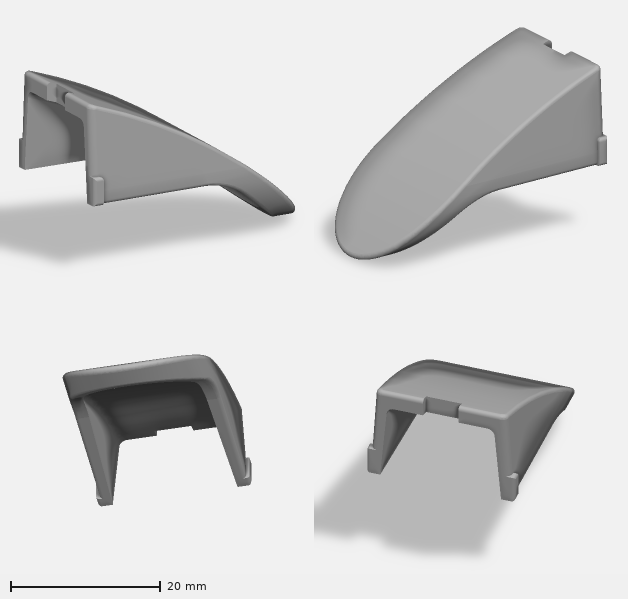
import cadquery as cq
import math

length = 35.22
half_width = 10.0
crown_rear_z = 22.7
crown_mid_y = 17.6
crown_mid_z = 14.75
crown_tip_z = 0.75

rim_z = 8.7
rim_end_y = 17.6
slope_start_y = 23.77
slope_start_z = 6.55
slope_end_y = 32.05
blend_mid_y = 20.85
blend_mid_z = 8.05

lean_angle = 3.5

roof_thickness = 2.45
cavity_rear_radius = 8.52
cavity_axis_z = 8.52
cavity_lean_angle = 5.0
cavity_taper = 1.5
cavity_roof_fillet = 1.05

notch_width = 5.0
notch_depth = 1.48

tab_half_width = 10.5
tab_inner_half_width = 7.75
tab_depth = 1.48
tab_top_z = 12.68
tab_fillet = 0.5

edge_fillet = 0.53
rear_corner_fillet = 1.0
clearance = 5.3


def crown_circle():
    """Centre (y, z) and radius of the circle through the three crown points."""
    chord_mid_y = length / 2
    chord_mid_z = (crown_rear_z + crown_tip_z) / 2
    drop = crown_rear_z - crown_tip_z
    chord = math.hypot(length, drop)
    normal_y = drop / chord
    normal_z = length / chord
    offset_y = crown_mid_y - chord_mid_y
    offset_z = crown_mid_z - chord_mid_z
    along_normal = offset_y * normal_y + offset_z * normal_z
    offset_squared = offset_y**2 + offset_z**2
    centre_shift = (offset_squared - (chord / 2) ** 2) / (2 * along_normal)
    centre_y = chord_mid_y + centre_shift * normal_y
    centre_z = chord_mid_z + centre_shift * normal_z
    radius = math.hypot(crown_rear_z - centre_z, centre_y)
    return centre_y, centre_z, radius


def crown_cylinder(depth):
    """Cylinder across the part whose surface lies the given depth below the crown."""
    centre_y, centre_z, radius = crown_circle()
    cylinder = cq.Workplane("YZ").center(centre_y, centre_z).circle(radius - depth)
    return cylinder.extrude(tab_half_width + clearance, both=True)


def u_section(radius, axis_z, lean, start_y):
    """Cross-section with a round bottom and tangent sides leaning inwards."""
    top_z = crown_rear_z + clearance
    lean_radians = math.radians(lean)
    side_x = radius * math.cos(lean_radians)
    side_z = axis_z + radius * math.sin(lean_radians)
    top_x = side_x - (top_z - side_z) * math.tan(lean_radians)
    return (
        cq.Workplane("XZ", origin=(0, start_y, 0))
        .moveTo(-side_x, side_z)
        .threePointArc((0, axis_z - radius), (side_x, side_z))
        .lineTo(top_x, top_z)
        .lineTo(-top_x, top_z)
        .close()
    )


def underside_cut():
    """Space below the rim, the blend and the sloping underside."""
    profile = (
        cq.Workplane("YZ")
        .moveTo(-clearance, -clearance)
        .lineTo(-clearance, rim_z)
        .lineTo(rim_end_y, rim_z)
        .threePointArc((blend_mid_y, blend_mid_z), (slope_start_y, slope_start_z))
        .lineTo(slope_end_y, 0)
        .lineTo(slope_end_y, -clearance)
        .close()
    )
    return profile.extrude(tab_half_width, both=True)


def outer_body():
    """Solid body with rounded edges, before the cavity is removed."""
    section = u_section(half_width, half_width, lean_angle, 0)
    body = section.extrude(-length - clearance)
    body = body.intersect(crown_cylinder(0))
    upper_rear_corners = body.faces("<Y").edges("not |X").edges(">Z")
    body = upper_rear_corners.fillet(rear_corner_fillet)
    crown_edges = body.faces("%CYLINDER").faces(">Z").edges()
    body = crown_edges.fillet(edge_fillet)
    body = body.cut(underside_cut())
    rim_corners = cq.selectors.BoxSelector(
        (-tab_half_width, 0.35, slope_start_z),
        (tab_half_width, slope_start_y - 0.35, rim_z + 0.35),
    )
    return body.edges(rim_corners).edges("not |X").fillet(edge_fillet)


def cavity():
    """Tapered pocket with a rounded roof, open below and at the rear."""
    start_radius = cavity_rear_radius + clearance * math.tan(math.radians(cavity_taper))
    section = u_section(start_radius, cavity_axis_z, cavity_lean_angle, -clearance)
    pocket = section.extrude(-length - clearance, taper=cavity_taper)
    pocket = pocket.intersect(crown_cylinder(roof_thickness))
    return pocket.faces("%CYLINDER").edges().fillet(cavity_roof_fillet)


def rear_notch():
    """Rectangular notch through the roof at the open end."""
    notch = cq.Workplane("XY").box(notch_width, 2 * notch_depth, crown_rear_z, centered=(True, True, False))
    return notch.translate((0, 0, tab_top_z))


def side_tabs():
    """Pair of tabs standing out from the walls, rounded on their exposed edges."""
    tab = cq.Workplane("XY").box(
        tab_half_width - tab_inner_half_width,
        tab_depth,
        tab_top_z - rim_z,
        centered=False,
    )
    tab = tab.translate((tab_inner_half_width, 0, rim_z))
    outer_edges = tab.faces(">X").edges("<Y or |Y")
    top_edge_towards_tip = tab.faces(">Z").edges(">Y")
    tab = outer_edges.add(top_edge_towards_tip).fillet(tab_fillet)
    return tab.union(tab.mirror("YZ"))


result = outer_body().union(side_tabs()).cut(cavity()).cut(rear_notch())